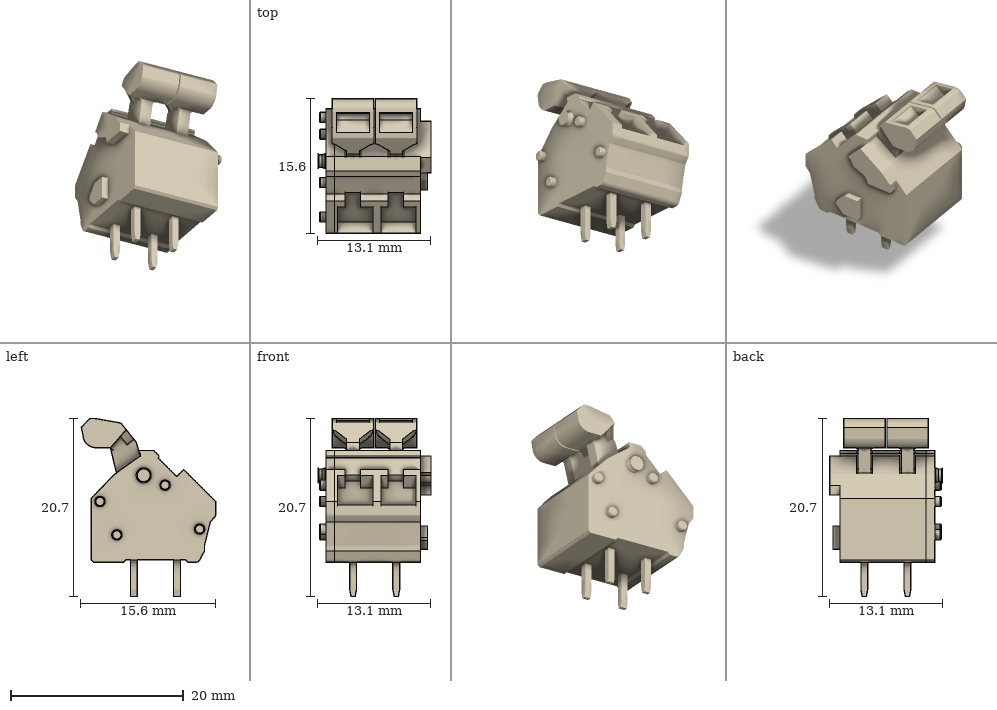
import cadquery as cq
import math


plate_thickness = 1.0
body_width = 11.0
body_depth = 14.45
body_top = 13.0
pitch = 5.0
pole_count = 2

front_top = 7.05
front_bottom = 5.43
ridge_y = 3.72
valley_y, valley_z = 4.54, 9.97
lip_y, lip_top, lip_bottom = 6.57, 12.36, 12.14
lip_undercut = 0.1
cap_front_y = 7.23
cap_back_y = 8.88
cap_notch_depth = 0.12
cap_notch_top, cap_notch_bottom = 12.65, 12.35
kink_y, kink_z = 11.78, 10.2
back_top = 7.43
chin_y, chin_z = 0.63, 4.69
shin_y, shin_top, shin_bottom = 1.31, 1.95, 1.32
foot_front_y = 2.01
foot_chamfer = 0.3
recess_front_y, recess_back_y = 3.52, 10.41
foot_radius = 0.6
plate_nose_radius = 0.82
housing_nose_radius = 0.33

entry_width = 4.08
entry_center = 3.42
entry_depth = 2.1
entry_lip_z = 6.65
entry_top_z = 10.1
notch_width = 1.78
notch_center = 3.12
notch_back_y = 4.71

lever_center = 3.15
lever_width = 4.82
stem_width = 1.46
slot_width = 1.88
stem_fillet = 0.45
gusset_depth = 1.02
gusset_half_width = 1.97
gusset_flare_length = 0.22
pocket_width = 3.8
pocket_back_y, pocket_front_y = 14.0, 11.67
pocket_lip_y, pocket_lip_z = 13.87, 16.48
pocket_wall_foot = (14.2, 15.6)
pocket_bend_middle = (14.05, 15.1)
pocket_bend_end = (13.5, 14.88)
pocket_floor_start = (13.14, 14.98)
pocket_floor_end_z = 16.15
pocket_overcut = 1.0
lever_top = 16.7
lever_top_front_y = 11.0
lever_top_front_z = 16.17
lever_crown_y = 14.6
lever_tip_y, lever_tip_z = 15.6, 15.66
lever_bottom = 13.28
belly_start = (15.33, 14.29)
belly_middle = (14.86, 13.65)
belly_end = (13.9, lever_bottom)
neck_bottom = (12.23, lever_bottom)
lever_edge_radius = 0.25
lever_front_lean = math.radians(51.5)
neck_top_z = 15.39
gusset_length = 1.43
stem_bend_length = 1.88
stem_fillet_setback = 0.4
stem_front_foot = (8.31, 10.85)
stem_back_foot = (11.2, 9.03)

pin_size = 0.82
pin_center = 3.17
pin_front_y = 4.5
pin_tip_z = -3.95
pin_taper_length = 0.82
pin_tip_width = 0.5
pin_root_z = 2.0

peg_radius = 0.6
peg_length = 0.75
peg_chamfer = 0.12
peg_places = [(13.43, 7.07), (5.88, 8.96), (11.47, 3.2), (1.88, 3.87)]
stud_place = (8.36, 10.1)
stud_radius = 0.87
stud_waist_radius = 0.74
stud_length = 0.9
stud_rim = 0.1
stud_waist_end = 0.42
upper_key_length = 1.2
upper_key_back_y, upper_key_bottom = 12.99, 7.8
upper_key_front_y = 7.0
upper_key_beak_z = 10.44
hollow_y, hollow_radius = 8.6, 1.18
lower_key_length = 0.8
lower_key_front_y, lower_key_back_y = 5.0, 8.0
lower_key_bottom, lower_key_top = 1.53, 4.24
lower_key_round_start_y = 6.57
lower_key_round_middle = (6.29, 4.21)
lower_key_round_end = (6.06, 4.1)
lower_key_shoulder_y = 5.18
lower_key_upper_shoulder_z, lower_key_lower_shoulder_z = 3.22, 2.35
lower_key_front_bottom, lower_key_front_top = 2.57, 2.92
lower_key_foot_y = 6.0


def side_prism(outline, x_start, x_end):
    """Extrude a closed (Y, Z) outline along X."""
    return outline.close().extrude(x_end - x_start).translate((x_start, 0, 0))


def outline_from(y, z):
    return cq.Workplane("YZ").moveTo(y, z)


def centered_prism(outline, x_center, width):
    return side_prism(outline, x_center - width / 2, x_center + width / 2)


def slope_point(along, depth):
    """Point under the wire-entry slope: `along` is Y + Z on the slope, `depth` is square to it."""
    y = (along - front_top) / 2
    inward = depth / math.sqrt(2)
    return y + inward, front_top + y - inward


def body_slice(x_start, x_end, nose_radius):
    outline = cq.Workplane("YZ").polyline([
        (0, front_bottom),
        (0, front_top),
        (ridge_y, front_top + ridge_y),
        (valley_y, valley_z),
        (lip_y + lip_undercut, valley_z + lip_y + lip_undercut - valley_y),
        (lip_y + lip_undercut, lip_bottom),
        (lip_y, lip_bottom),
        (lip_y, lip_top),
        (cap_front_y, body_top),
        (cap_back_y, body_top),
        (cap_back_y, cap_notch_top),
        (cap_back_y - cap_notch_depth, cap_notch_top),
        (cap_back_y - cap_notch_depth, cap_notch_bottom),
        (kink_y, kink_z),
        (body_depth, back_top),
        (body_depth, foot_chamfer),
        (body_depth - foot_chamfer, 0),
        (recess_back_y + foot_chamfer, 0),
        (recess_back_y, foot_chamfer),
        (recess_front_y, foot_chamfer),
        (recess_front_y - foot_chamfer, 0),
        (foot_front_y, 0),
        (shin_y, shin_bottom),
        (shin_y, shin_top),
        (chin_y, chin_z),
    ])
    body = side_prism(outline, x_start, x_end)
    x_middle = (x_start + x_end) / 2
    nose = cq.selectors.NearestToPointSelector((x_middle, 0, front_bottom))
    foot = cq.selectors.NearestToPointSelector((x_middle, foot_front_y, 0))
    return body.edges(nose).fillet(nose_radius).edges(foot).fillet(foot_radius)


def pole_offsets():
    return [pole * pitch for pole in range(pole_count)]


def make_peg(y, z):
    peg = cq.Workplane("YZ").center(y, z).circle(peg_radius).extrude(-peg_length)
    return peg.faces("<X").chamfer(peg_chamfer)


def make_stud():
    """Waisted stud, turned about an axis along X."""
    y, z = stud_place
    profile = cq.Workplane("XY").polyline([
        (0, 0),
        (0, stud_radius),
        (-stud_rim, stud_radius),
        (-stud_waist_end, stud_waist_radius),
        (-stud_length + stud_rim, stud_waist_radius),
        (-stud_length, stud_radius),
        (-stud_length, 0),
    ]).close()
    return profile.revolve(360, (0, 0, 0), (1, 0, 0)).translate((0, y, z))


def make_end_plate():
    plate = body_slice(0, plate_thickness, plate_nose_radius)
    for y, z in peg_places:
        plate = plate.union(make_peg(y, z))
    return plate.union(make_stud())


def wire_entry(offset):
    """T-shaped pocket square to the slope; the narrow notch runs out behind the ridge."""
    def block(along_start, along_end, center, width):
        above = -entry_depth
        corners = [
            slope_point(along_start, above),
            slope_point(along_end, above),
            slope_point(along_end, entry_depth),
            slope_point(along_start, entry_depth),
        ]
        return centered_prism(cq.Workplane("YZ").polyline(corners), center + offset, width)

    entry_top = 2 * entry_top_z - front_top
    notch_top = notch_back_y + valley_z + notch_back_y - valley_y
    entry = block(entry_lip_z, entry_top, entry_center, entry_width)
    return entry.union(block(entry_lip_z, notch_top, notch_center, notch_width))


def lever_front_point(distance):
    """Point (Y, Z) on the lever's front face, measured down from the head's lower end."""
    neck_y = lever_top_front_y - (lever_top_front_z - neck_top_z) / math.tan(lever_front_lean)
    return (neck_y - distance * math.cos(lever_front_lean),
            neck_top_z - distance * math.sin(lever_front_lean))


neck_top = lever_front_point(0)


def stem_outline():
    return cq.Workplane("YZ").polyline(
        [neck_top, lever_front_point(stem_bend_length), stem_front_foot, stem_back_foot, neck_bottom])


def make_upper_key():
    """Latch block with a rounded nose and a hollow below it."""
    back_slope = (kink_z - back_top) / (body_depth - kink_y)
    crest_y = cap_back_y - cap_notch_depth
    stud_y, stud_z = stud_place
    diagonal = math.sqrt(0.5)
    outline = (
        outline_from(upper_key_back_y, upper_key_bottom)
        .lineTo(upper_key_back_y, kink_z - back_slope * (upper_key_back_y - kink_y))
        .lineTo(kink_y, kink_z)
        .lineTo(crest_y, cap_notch_bottom)
        .lineTo(upper_key_front_y, upper_key_beak_z)
        .lineTo(stud_y - stud_radius, stud_z)
        .threePointArc((stud_y - stud_radius * diagonal, stud_z - stud_radius * diagonal),
                       (stud_y, stud_z - stud_radius))
        .lineTo(hollow_y, upper_key_bottom + hollow_radius)
        .threePointArc((hollow_y + hollow_radius * diagonal,
                        upper_key_bottom + hollow_radius * diagonal),
                       (hollow_y + hollow_radius, upper_key_bottom))
    )
    return side_prism(outline, body_width, body_width + upper_key_length)


def make_lower_key():
    outline = (
        outline_from(lower_key_back_y, lower_key_bottom)
        .lineTo(lower_key_back_y, lower_key_top)
        .lineTo(lower_key_round_start_y, lower_key_top)
        .threePointArc(lower_key_round_middle, lower_key_round_end)
        .lineTo(lower_key_shoulder_y, lower_key_upper_shoulder_z)
        .lineTo(lower_key_front_y, lower_key_front_top)
        .lineTo(lower_key_front_y, lower_key_front_bottom)
        .lineTo(lower_key_shoulder_y, lower_key_lower_shoulder_z)
        .lineTo(lower_key_foot_y, lower_key_bottom)
    )
    return side_prism(outline, body_width, body_width + lower_key_length)


def make_housing(pins):
    housing = body_slice(plate_thickness, body_width, housing_nose_radius)
    housing = housing.union(make_upper_key()).union(make_lower_key())
    for offset in pole_offsets():
        housing = housing.cut(wire_entry(offset))
        housing = housing.cut(centered_prism(stem_outline(), lever_center + offset, slot_width))
    for pin in pins:
        housing = housing.cut(pin)
    return housing


def lever_head():
    outline = (
        outline_from(*neck_top)
        .lineTo(lever_top_front_y, lever_top_front_z)
        .lineTo(pocket_back_y, lever_top)
        .lineTo(lever_crown_y, lever_top)
        .lineTo(lever_tip_y, lever_tip_z)
        .lineTo(*belly_start)
        .threePointArc(belly_middle, belly_end)
        .lineTo(*neck_bottom)
    )
    head = centered_prism(outline, 0, lever_width)
    for corner in [(lever_top_front_y, lever_top_front_z), (lever_crown_y, lever_top)]:
        edge = cq.selectors.NearestToPointSelector((0, *corner))
        head = head.edges(edge).fillet(lever_edge_radius)
    return head


def finger_pocket():
    """Scoop in the head: undercut back wall, rounded bottom, floor rising to the front."""
    rim_z = lever_top + pocket_overcut
    outline = (
        outline_from(pocket_back_y, rim_z)
        .lineTo(pocket_back_y, lever_top)
        .lineTo(pocket_lip_y, pocket_lip_z)
        .lineTo(*pocket_wall_foot)
        .threePointArc(pocket_bend_middle, pocket_bend_end)
        .lineTo(*pocket_floor_start)
        .lineTo(pocket_front_y, pocket_floor_end_z)
        .lineTo(pocket_front_y, rim_z)
    )
    return centered_prism(outline, 0, pocket_width)


def gusset():
    """Tapered web on the front of the neck, extruded square to its front face."""
    inward = (0, math.sin(lever_front_lean), -math.cos(lever_front_lean))
    plane = cq.Plane(origin=(0, *neck_top), xDir=(-1, 0, 0), normal=inward)
    flare_half = lever_width / 2
    web = (
        cq.Workplane(plane)
        .moveTo(-flare_half, 0)
        .lineTo(flare_half, 0)
        .lineTo(gusset_half_width, -gusset_flare_length)
        .lineTo(stem_width / 2, -gusset_length)
        .lineTo(-stem_width / 2, -gusset_length)
        .lineTo(-gusset_half_width, -gusset_flare_length)
        .close()
    )
    return web.extrude(gusset_depth)


def stem_fillets():
    """Concave fillets between the head's underside and both sides of the stem."""
    run_y = neck_bottom[0] - neck_top[0]
    run_z = neck_bottom[1] - neck_top[1]
    length = math.hypot(run_y, run_z)
    plane = cq.Plane(origin=(0, *neck_top), xDir=(-1, 0, 0), normal=(0, run_y, run_z))
    inner = stem_width / 2
    outer = inner + stem_fillet
    mid = stem_fillet * (1 - math.sqrt(0.5))
    one = (
        cq.Workplane(plane)
        .workplane(offset=stem_fillet_setback)
        .moveTo(inner, 0)
        .lineTo(outer, 0)
        .threePointArc((inner + mid, -mid), (inner, -stem_fillet))
        .close()
        .extrude(length - stem_fillet_setback)
    )
    return one.union(one.mirror("YZ"))


def make_lever(offset):
    lever = lever_head().cut(finger_pocket())
    lever = lever.union(centered_prism(stem_outline(), 0, stem_width))
    lever = lever.union(gusset()).union(stem_fillets())
    return lever.translate((lever_center + offset, 0, 0))


def make_pin(x, y):
    half = pin_size / 2
    half_tip = pin_tip_width / 2
    shoulder_z = pin_tip_z + pin_taper_length
    outline = cq.Workplane("XZ").polyline([
        (-half, pin_root_z),
        (half, pin_root_z),
        (half, shoulder_z),
        (half_tip, pin_tip_z),
        (-half_tip, pin_tip_z),
        (-half, shoulder_z),
    ]).close()
    return outline.extrude(half, both=True).translate((x, y, 0))


pins = []
for pole_offset in pole_offsets():
    for row_y in (pin_front_y, pin_front_y + pitch):
        pins.append(make_pin(pin_center + pole_offset, row_y))
end_plate = make_end_plate()
housing = make_housing(pins)
levers = [make_lever(pole_offset) for pole_offset in pole_offsets()]

result = cq.Compound.makeCompound(
    [end_plate.val(), housing.val()]
    + [lever.val() for lever in levers]
    + [pin.val() for pin in pins]
)